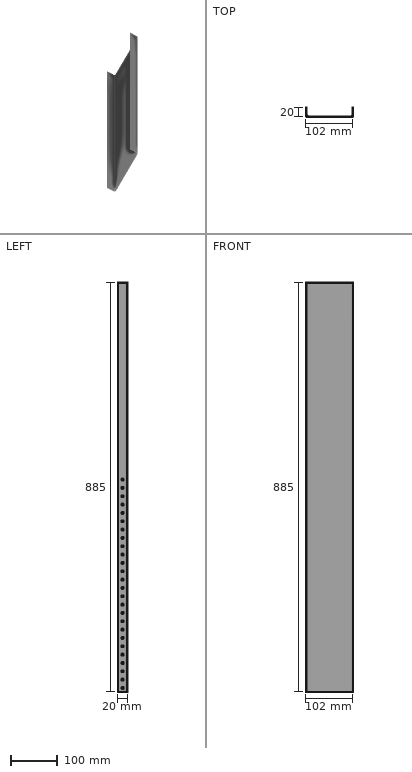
import cadquery as cq

width = 102.0
depth = 20.0
length = 885.0

thickness = 1.5
outer_bend_radius = 4.0

hole_diameter = 3.0
hole_count = 26
first_hole_height = 9.0
last_hole_height = 459.0
hole_pitch = (last_hole_height - first_hole_height) / (hole_count - 1)
hole_y = depth / 2


def make_channel():
    """U-shaped sheet: web on the -Y side, flanges pointing to +Y."""
    outer = (
        cq.Workplane("XY")
        .box(width, depth, length, centered=(True, False, False))
        .edges("|Z and <Y")
        .fillet(outer_bend_radius)
    )
    inner = (
        cq.Workplane("XY")
        .box(width - 2 * thickness, depth - thickness, length, centered=(True, False, False))
        .edges("|Z and <Y")
        .fillet(outer_bend_radius - thickness)
        .translate((0, thickness, 0))
    )
    return outer.cut(inner)


def make_flange_holes():
    """Cylinders along X that reach across both flanges."""
    centers = [(hole_y, first_hole_height + i * hole_pitch) for i in range(hole_count)]
    return (
        cq.Workplane("YZ")
        .pushPoints(centers)
        .circle(hole_diameter / 2)
        .extrude(width / 2, both=True)
    )


result = make_channel().cut(make_flange_holes())